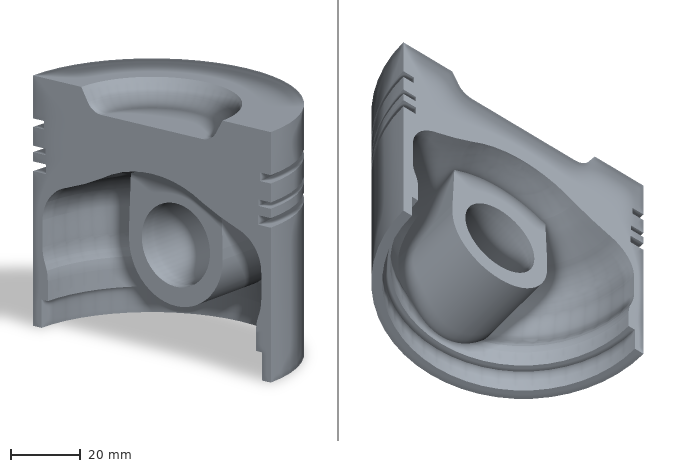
import cadquery as cq
import math

outer_radius = 43.5
height = 75.0
overlap = 0.9

bowl_rim_radius = 25.8
bowl_depth = 7
bowl_cone_angle = math.radians(60)
bowl_blend_radius = 5.7

ring_grooves = [
    (59.6, 2.5, 3.9),
    (52.0, 1.9, 4.5),
    (46.4, 2.9, 4.7),
]

rim_bore_radius = 40.4
rim_bore_height = 8.4
neck_radius = 38.1
neck_top = 14.3
neck_blend = (38.45, 17.5)
flare_kink = (39.0, 19.05)
flare_end = (39.3, 20)
wall_radius = 40
wall_bottom = 24.1
wall_top = 32.3
shoulder_mid = (38.5, 37.9)
shoulder_end = (31.1, 43.8)
saddle_mid = (25.0, 46.0)
dome_edge = (18.5, 49.0)
dome_top = 54.0
dome_radius = 36.5

pin_diameter = 25.0
pin_z = 30.0
boss_face_y = 11.0
boss_radius = 17.1
boss_center_z = 28.9
boss_side_bottom = 32.2
boss_top_half_width = 16.4
boss_top = 49.0


def revolve_profile(profile):
    """Revolve a closed radius/height profile around the piston axis."""
    return profile.close().revolve(360, (0, 0, 0), (0, 1, 0))


def bowl():
    blend_height = bowl_blend_radius * (1 - math.cos(bowl_cone_angle))
    blend_width = bowl_blend_radius * math.sin(bowl_cone_angle)
    cone_depth = bowl_depth - blend_height
    cone_end_radius = bowl_rim_radius - cone_depth / math.tan(bowl_cone_angle)
    floor_radius = cone_end_radius - blend_width
    floor_z = height - bowl_depth
    half_angle = bowl_cone_angle / 2
    blend_middle = (
        floor_radius + bowl_blend_radius * math.sin(half_angle),
        floor_z + bowl_blend_radius * (1 - math.cos(half_angle)),
    )
    return revolve_profile(
        cq.Workplane("XZ")
        .moveTo(0, height)
        .lineTo(bowl_rim_radius, height)
        .lineTo(cone_end_radius, height - cone_depth)
        .threePointArc(blend_middle, (floor_radius, floor_z))
        .lineTo(0, floor_z)
    )


def ring_groove(bottom, groove_height, depth):
    ring = cq.Workplane("XY").workplane(offset=bottom).circle(outer_radius + overlap)
    return ring.circle(outer_radius - depth).extrude(groove_height)


def cavity():
    dome_middle_r = dome_edge[0] / 2
    dome_middle = (
        dome_middle_r,
        dome_top - dome_radius + math.sqrt(dome_radius**2 - dome_middle_r**2),
    )
    return revolve_profile(
        cq.Workplane("XZ")
        .lineTo(rim_bore_radius, 0)
        .lineTo(rim_bore_radius, rim_bore_height)
        .lineTo(neck_radius, rim_bore_height)
        .lineTo(neck_radius, neck_top)
        .tangentArcPoint(neck_blend, relative=False)
        .lineTo(*flare_kink)
        .lineTo(*flare_end)
        .tangentArcPoint((wall_radius, wall_bottom), relative=False)
        .lineTo(wall_radius, wall_top)
        .tangentArcPoint(shoulder_mid, relative=False)
        .tangentArcPoint(shoulder_end, relative=False)
        .threePointArc(saddle_mid, dome_edge)
        .threePointArc(dome_middle, (0, dome_top))
    )


def pin_boss():
    """Rounded boss reaching from its flat face out to the skirt and up into the dome."""
    side_slope = (boss_radius - boss_top_half_width) / (boss_top - boss_side_bottom)
    buried_top = dome_top + overlap
    top_half_width = boss_radius - side_slope * (buried_top - boss_side_bottom)
    boss = (
        cq.Workplane("XZ", origin=(0, boss_face_y, 0))
        .moveTo(-top_half_width, buried_top)
        .lineTo(-boss_radius, boss_side_bottom)
        .lineTo(-boss_radius, boss_center_z)
        .threePointArc((0, boss_center_z - boss_radius), (boss_radius, boss_center_z))
        .lineTo(boss_radius, boss_side_bottom)
        .lineTo(top_half_width, buried_top)
        .close()
        .extrude(-outer_radius)
    )
    inside_skirt = cq.Workplane("XY").circle(rim_bore_radius + overlap).extrude(height)
    return boss.intersect(inside_skirt)


def pin_bore():
    bore = cq.Workplane("XZ").center(0, pin_z).circle(pin_diameter / 2)
    return bore.extrude(-2 * outer_radius)


piston = cq.Workplane("XY").circle(outer_radius).extrude(height)
piston = piston.cut(cavity()).union(pin_boss())
piston = piston.cut(bowl()).cut(pin_bore())
for groove in ring_grooves:
    piston = piston.cut(ring_groove(*groove))

back_half = cq.Workplane("XY").box(
    2 * outer_radius, outer_radius, height, centered=(True, False, False)
)
result = piston.intersect(back_half)